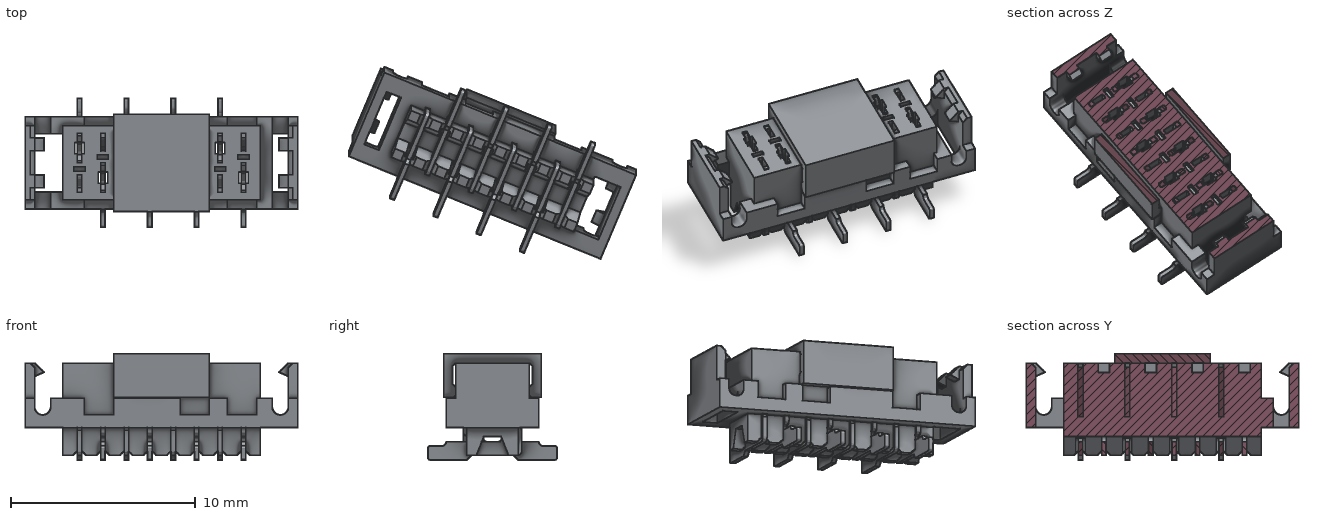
import cadquery as cq
import math


BASE_LENGTH = 14.76
BASE_WIDTH = 5.02
BASE_HEIGHT = 1.6
TOWER_LENGTH = 10.7
TOWER_WIDTH = 4.0
TOWER_TOP = 3.5
SKIRT_WIDTH = 2.79
SKIRT_DEPTH = 1.5

LATCH_THICKNESS = 0.52
LATCH_CHAMFER = 0.25
HOOK_REACH = 0.5
HOOK_BACK_DROP = 0.72
HOOK_WIDTH = 0.71
HOOK_OFFSET = 1.0

RELIEF_WIDTH = 0.85
RELIEF_FLOOR = 0.7
OPENING_WIDTH = 3.15
NOTCH_WIDTH = 1.6
NOTCH_CENTRES = (-3.4, 1.8, 4.37)

GROOVE_TOP = -0.49
GROOVE_TOP_WIDTH = 0.93
GROOVE_BOTTOM_WIDTH = 1.74
SKIRT_NOTCH_HALF_WIDTH = 0.35

WINDOW_LENGTH = 0.59
WINDOW_WIDTH = 0.5
RECESS_LENGTH = 0.6
RECESS_WIDTH = 0.25
RECESS_DEPTH = 0.5
RECESS_OFFSET = 0.32

CAP_LENGTH = 5.2
CAP_WIDTH = 5.28
CAP_TOP = 4.0
CAP_BOTTOM = 1.64
CAP_CLEARANCE = 0.16
CAP_LIP_TOP = 2.2
CAP_LIP_CHAMFER = 0.1

CONTACT_COUNT = 8
CONTACT_PITCH = 1.27
CONTACT_THICKNESS = 0.25
SLOT_END = 1.6
ARM_SLOT_START = 0.65
CONTACT_TOP = 3.45

FOOT_TIP = 3.5
FOOT_BOTTOM = -1.75
FOOT_TOP = -0.99
FOOT_STEP_START = 2.51
FOOT_HEEL = 1.39
FOOT_TIP_RADIUS = 0.13
BRIDGE_TOP = -0.75
END_RADIUS = 0.25

NECK_TOP = -0.22
NECK_BULGE_RADIUS = 0.24

FORK_SHOULDER = 0.59
FORK_GAP = 0.71
FORK_GAP_BOTTOM = 1.18
FORK_GAP_RADIUS = 0.22
FORK_TIP_WIDTH = 0.12
FUNNEL_BOTTOM = 3.1
STEM_INNER = 0.65

ARM_INNER = 0.47
ARM_FOOT_RADIUS = 0.13
ARM_SHOULDER = 0.0
ARM_CURVE_RADIUS = 0.24
ARM_TIP_WIDTH = 0.24
ARM_SET_BACK = 0.09
ARM_HEEL_TOP = -0.15

BASE_END = BASE_LENGTH / 2
LATCH_INNER = BASE_END - LATCH_THICKNESS
RELIEF_INNER = LATCH_INNER - RELIEF_WIDTH
TOWER_END = TOWER_LENGTH / 2
TOWER_SIDE = TOWER_WIDTH / 2
FORK_CENTRE = SLOT_END / 2


def block(x_range, y_range, z_range):
    """Box between the given limits."""
    (x0, x1), (y0, y1), (z0, z1) = x_range, y_range, z_range
    return cq.Workplane("XY").box(x1 - x0, y1 - y0, z1 - z0, centered=False).translate((x0, y0, z0))


def centred_block(length, width, z_range, x=0.0, y=0.0):
    """Box centred on (x, y)."""
    return block((x - length / 2, x + length / 2), (y - width / 2, y + width / 2), z_range)


def prism_along_y(points, width, y=0.0):
    """Extrude an XZ polygon by width, centred on y."""
    return cq.Workplane("XZ").polyline(points).close().extrude(width / 2, both=True).translate((0, y, 0))


def point_on_circle(centre, radius, angle):
    """Point on a circle, used as the middle of an arc."""
    return (
        centre[0] + radius * math.cos(math.radians(angle)),
        centre[1] + radius * math.sin(math.radians(angle)),
    )


def contact_places():
    """X position and foot direction (+1 or -1 along Y) of every contact."""
    first = -CONTACT_PITCH * (CONTACT_COUNT - 1) / 2
    return [(first + i * CONTACT_PITCH, 1 if i % 2 == 0 else -1) for i in range(CONTACT_COUNT)]


def make_contact(x, side):
    """Flat stamped contact: foot, bridge, spring arm at the far side and fork above the foot."""
    step = BRIDGE_TOP - FOOT_TOP
    heel = FOOT_HEEL - (-SKIRT_DEPTH - FOOT_BOTTOM)
    tip_low = (FOOT_TIP - FOOT_TIP_RADIUS, FOOT_BOTTOM + FOOT_TIP_RADIUS)
    tip_high = (FOOT_TIP - FOOT_TIP_RADIUS, FOOT_TOP - FOOT_TIP_RADIUS)
    step_centre = (FOOT_STEP_START + step, BRIDGE_TOP)
    bulge_centre = (SLOT_END - NECK_BULGE_RADIUS, NECK_TOP)
    neck_top = NECK_TOP - NECK_BULGE_RADIUS
    neck_radius = (neck_top - BRIDGE_TOP) / 2
    gap_low = FORK_CENTRE - FORK_GAP / 2
    gap_high = FORK_CENTRE + FORK_GAP / 2
    gap_fillet_z = FORK_GAP_BOTTOM + FORK_GAP_RADIUS
    arm_foot_centre = (-ARM_INNER + ARM_FOOT_RADIUS, BRIDGE_TOP + ARM_FOOT_RADIUS)
    arm_curve_centre = (-ARM_SLOT_START, ARM_SHOULDER + ARM_CURVE_RADIUS)
    end_centre = (-SLOT_END + END_RADIUS, -SKIRT_DEPTH + END_RADIUS)

    profile = (
        cq.Workplane("YZ")
        .moveTo(heel, -SKIRT_DEPTH)
        .lineTo(FOOT_HEEL, FOOT_BOTTOM)
        .lineTo(tip_low[0], FOOT_BOTTOM)
        .threePointArc(point_on_circle(tip_low, FOOT_TIP_RADIUS, -45), (FOOT_TIP, tip_low[1]))
        .lineTo(FOOT_TIP, tip_high[1])
        .threePointArc(point_on_circle(tip_high, FOOT_TIP_RADIUS, 45), (tip_high[0], FOOT_TOP))
        .lineTo(step_centre[0], FOOT_TOP)
        .threePointArc(point_on_circle(step_centre, step, 225), (FOOT_STEP_START, BRIDGE_TOP))
        .lineTo(bulge_centre[0], BRIDGE_TOP)
        .threePointArc((bulge_centre[0] - neck_radius, BRIDGE_TOP + neck_radius), (bulge_centre[0], neck_top))
        .threePointArc(point_on_circle(bulge_centre, NECK_BULGE_RADIUS, -45), (SLOT_END, NECK_TOP))
        .lineTo(SLOT_END, CONTACT_TOP)
        .lineTo(SLOT_END - FORK_TIP_WIDTH, CONTACT_TOP)
        .lineTo(gap_high, FUNNEL_BOTTOM)
        .lineTo(gap_high, gap_fillet_z)
        .threePointArc(
            point_on_circle((gap_high - FORK_GAP_RADIUS, gap_fillet_z), FORK_GAP_RADIUS, -45),
            (gap_high - FORK_GAP_RADIUS, FORK_GAP_BOTTOM),
        )
        .lineTo(gap_low + FORK_GAP_RADIUS, FORK_GAP_BOTTOM)
        .threePointArc(
            point_on_circle((gap_low + FORK_GAP_RADIUS, gap_fillet_z), FORK_GAP_RADIUS, 225),
            (gap_low, gap_fillet_z),
        )
        .lineTo(gap_low, FUNNEL_BOTTOM)
        .lineTo(FORK_TIP_WIDTH, CONTACT_TOP)
        .lineTo(0, CONTACT_TOP)
        .lineTo(0, FORK_SHOULDER)
        .lineTo(STEM_INNER, FORK_SHOULDER)
        .lineTo(STEM_INNER, BRIDGE_TOP)
        .lineTo(arm_foot_centre[0], BRIDGE_TOP)
        .threePointArc(point_on_circle(arm_foot_centre, ARM_FOOT_RADIUS, 225), (-ARM_INNER, arm_foot_centre[1]))
        .lineTo(-ARM_INNER, ARM_SHOULDER)
        .lineTo(-ARM_SLOT_START, ARM_SHOULDER)
        .threePointArc(
            point_on_circle(arm_curve_centre, ARM_CURVE_RADIUS, 225),
            (-ARM_SLOT_START - ARM_CURVE_RADIUS, arm_curve_centre[1]),
        )
        .lineTo(-SLOT_END + ARM_TIP_WIDTH, CONTACT_TOP)
        .lineTo(-SLOT_END, CONTACT_TOP)
        .lineTo(-SLOT_END + ARM_SET_BACK, ARM_SHOULDER)
        .lineTo(-SLOT_END, ARM_HEEL_TOP)
        .lineTo(-SLOT_END, end_centre[1])
        .threePointArc(point_on_circle(end_centre, END_RADIUS, 225), (end_centre[0], -SKIRT_DEPTH))
        .close()
    )
    contact = profile.extrude(CONTACT_THICKNESS / 2, both=True)
    if side < 0:
        contact = contact.rotate((0, 0, 0), (0, 0, 1), 180)
    return contact.translate((x, 0, 0))


def make_latch():
    """Latch at the +X end: upright plate with a chamfered inner edge and two hooks."""
    latch = centred_block(
        LATCH_THICKNESS, TOWER_WIDTH, (0, TOWER_TOP), x=LATCH_INNER + LATCH_THICKNESS / 2
    )
    latch = latch.faces(">Z").edges("<X").chamfer(LATCH_CHAMFER)
    hook_points = [
        (LATCH_INNER + LATCH_CHAMFER, TOWER_TOP),
        (LATCH_INNER, TOWER_TOP),
        (LATCH_INNER - HOOK_REACH, TOWER_TOP - HOOK_REACH),
        (LATCH_INNER, TOWER_TOP - HOOK_BACK_DROP),
        (LATCH_INNER + LATCH_CHAMFER, TOWER_TOP - HOOK_BACK_DROP),
    ]
    for y in (-HOOK_OFFSET, HOOK_OFFSET):
        latch = latch.union(prism_along_y(hook_points, HOOK_WIDTH, y))
    return latch


def make_relief():
    """Cutter for the U-shaped relief beside the +X latch."""
    radius = RELIEF_WIDTH / 2
    axis_z = RELIEF_FLOOR + radius
    return (
        cq.Workplane("XZ")
        .moveTo(RELIEF_INNER, TOWER_TOP)
        .lineTo(RELIEF_INNER, axis_z)
        .threePointArc((RELIEF_INNER + radius, RELIEF_FLOOR), (LATCH_INNER, axis_z))
        .lineTo(LATCH_INNER, TOWER_TOP)
        .close()
        .extrude(BASE_WIDTH, both=True)
    )


def cut_side_notches(body):
    """Notches in both side walls of the base, down to the relief floor."""
    wall = BASE_WIDTH / 2 - TOWER_SIDE
    for x in NOTCH_CENTRES:
        for side in (-1, 1):
            y = side * (TOWER_SIDE + wall / 2)
            body = body.cut(centred_block(NOTCH_WIDTH, wall, (RELIEF_FLOOR, BASE_HEIGHT), x, y))
    return body


def cut_skirt(body):
    """Trapezoidal groove along the skirt and a 45-degree notch under every contact."""
    groove = (
        cq.Workplane("YZ")
        .polyline([
            (-GROOVE_BOTTOM_WIDTH / 2, -SKIRT_DEPTH),
            (GROOVE_BOTTOM_WIDTH / 2, -SKIRT_DEPTH),
            (GROOVE_TOP_WIDTH / 2, GROOVE_TOP),
            (-GROOVE_TOP_WIDTH / 2, GROOVE_TOP),
        ])
        .close()
        .extrude(TOWER_LENGTH, both=True)
    )
    body = body.cut(groove)
    for x, _ in contact_places():
        notch = [
            (x - SKIRT_NOTCH_HALF_WIDTH, -SKIRT_DEPTH),
            (x + SKIRT_NOTCH_HALF_WIDTH, -SKIRT_DEPTH),
            (x, -SKIRT_DEPTH + SKIRT_NOTCH_HALF_WIDTH),
        ]
        body = body.cut(prism_along_y(notch, SKIRT_WIDTH))
    return body


def cut_contact_cavity(body, x, side):
    """Fork slot with its window, root slot, spring-arm slot and top recess for one contact."""
    fork_slot = centred_block(
        CONTACT_THICKNESS, SLOT_END, (FORK_SHOULDER, TOWER_TOP), x, side * FORK_CENTRE
    )
    window = centred_block(
        WINDOW_WIDTH, WINDOW_LENGTH, (-SKIRT_DEPTH, TOWER_TOP), x, side * FORK_CENTRE
    )
    root_slot = centred_block(
        CONTACT_THICKNESS, SLOT_END - STEM_INNER, (-SKIRT_DEPTH, FORK_SHOULDER),
        x, side * (SLOT_END + STEM_INNER) / 2,
    )
    arm_slot = centred_block(
        CONTACT_THICKNESS, SLOT_END - ARM_SLOT_START, (ARM_SHOULDER, TOWER_TOP),
        x, -side * (SLOT_END + ARM_SLOT_START) / 2,
    )
    recess = centred_block(
        RECESS_LENGTH, RECESS_WIDTH, (TOWER_TOP - RECESS_DEPTH, TOWER_TOP), x, -side * RECESS_OFFSET
    )
    for cutter in (fork_slot, window, root_slot, arm_slot, recess):
        body = body.cut(cutter)
    return body.cut(make_contact(x, side))


def make_housing():
    """Base with tower, skirt, latches and contact cavities."""
    relief = make_relief()
    latch = make_latch()
    body = centred_block(BASE_LENGTH, BASE_WIDTH, (0, BASE_HEIGHT))
    body = body.cut(relief).cut(relief.mirror("YZ"))
    opening_y = (-OPENING_WIDTH / 2, OPENING_WIDTH / 2)
    body = body.cut(block((-LATCH_INNER, -TOWER_END), opening_y, (0, BASE_HEIGHT)))
    body = body.cut(block((RELIEF_INNER, LATCH_INNER), opening_y, (0, BASE_HEIGHT)))
    body = cut_side_notches(body)
    body = body.union(latch).union(latch.mirror("YZ"))
    body = body.union(centred_block(TOWER_LENGTH, TOWER_WIDTH, (0, TOWER_TOP)))
    body = body.union(centred_block(TOWER_LENGTH, SKIRT_WIDTH, (-SKIRT_DEPTH, 0)))
    body = cut_skirt(body)
    for x, side in contact_places():
        body = cut_contact_cavity(body, x, side)
    return body


def make_cap():
    """Pick-up cap: a channel over the tower whose legs grip it with inward lips."""
    outer = CAP_WIDTH / 2
    inner = TOWER_SIDE + CAP_CLEARANCE
    inside = [
        (TOWER_SIDE + CAP_LIP_CHAMFER, CAP_BOTTOM),
        (TOWER_SIDE, CAP_BOTTOM + CAP_LIP_CHAMFER),
        (TOWER_SIDE, CAP_LIP_TOP),
        (inner, CAP_LIP_TOP + CAP_CLEARANCE),
        (inner, TOWER_TOP - CAP_CLEARANCE),
        (TOWER_SIDE, TOWER_TOP),
    ]
    mirrored = [(-y, z) for y, z in reversed(inside)]
    outside = [(-outer, CAP_BOTTOM), (-outer, CAP_TOP), (outer, CAP_TOP), (outer, CAP_BOTTOM)]
    return cq.Workplane("YZ").polyline(inside + mirrored + outside).close().extrude(CAP_LENGTH / 2, both=True)


housing = make_housing()
cap = make_cap()
contacts = [make_contact(x, side) for x, side in contact_places()]

result = cq.Compound.makeCompound([housing.val(), cap.val(), *[contact.val() for contact in contacts]])